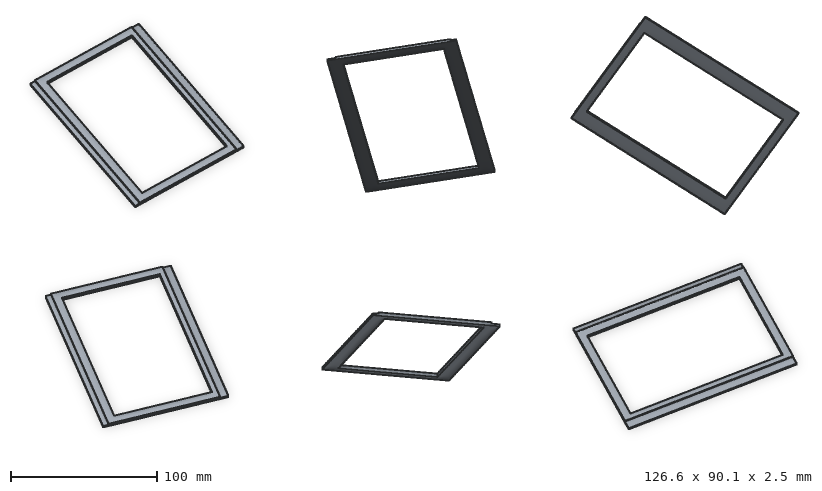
import cadquery as cq

length = 126.6
width = 90.1
thickness = 2.5

ledge_height = 1.5
front_ledge_width = 3.9
back_ledge_width = 6.0

side_rail_width = 6.0
front_rail_width = 6.0
back_rail_width = 3.9

front_edge = -width / 2
back_edge = width / 2


def block(x_size, y_start, y_end, height):
    """Box centred on X, standing on Z = 0 between two Y positions."""
    return (
        cq.Workplane("XY")
        .box(x_size, y_end - y_start, height, centered=(True, False, False))
        .translate((0, y_start, 0))
    )


raised_front = front_edge + front_ledge_width
raised_back = back_edge - back_ledge_width

base = block(length, front_edge, back_edge, ledge_height)
raised_frame = block(length, raised_front, raised_back, thickness)
window = block(
    length - 2 * side_rail_width,
    raised_front + front_rail_width,
    raised_back - back_rail_width,
    thickness,
)

result = base.union(raised_frame).cut(window)